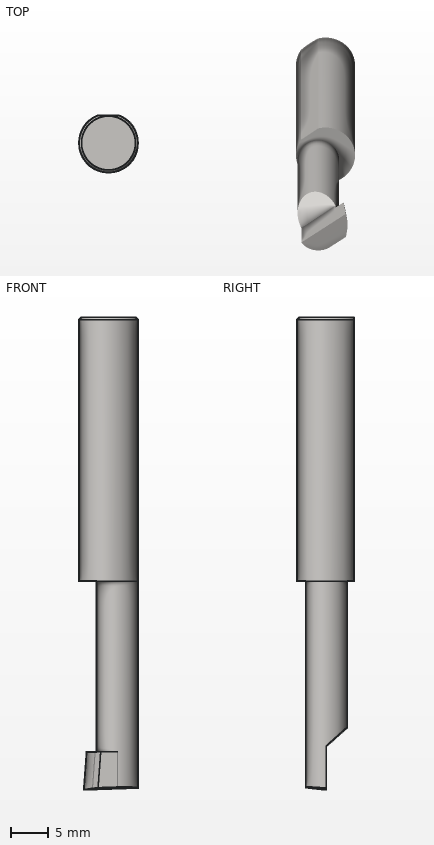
import cadquery as cq
import math

total_length = 63.49
shank_bottom_z = 28.05

shank_diameter = 7.9375
shank_radius = shank_diameter / 2
shank_flat_y = 3.71
shank_chamfer = 0.35

neck_diameter = 5.6
neck_radius = neck_diameter / 2
neck_center_x = shank_radius - neck_radius

relief_start_z = 5.9
relief_rise = 2.5

head_height = 5.1
tip_x = -3.33
heel_x = -2.2
heel_y = -1.97
front_corner_x = -1.42
clearance_bulge = 0.12
side_draft = math.radians(4.2)

end_angle_x = math.radians(2)
end_angle_y = math.radians(5)

cut_margin = 5.0
end_cut_width = 4 * shank_diameter


def make_shank():
    """Chamfered round shank with a flat along its +Y side."""
    shank = (
        cq.Workplane("XY", origin=(0, 0, shank_bottom_z))
        .circle(shank_radius)
        .extrude(total_length - shank_bottom_z)
        .faces(">Z")
        .chamfer(shank_chamfer)
    )
    flat_cut = cq.Workplane("XZ", origin=(0, shank_flat_y, 0)).moveTo(0, total_length / 2)
    flat_cut = flat_cut.rect(shank_diameter, total_length).extrude(-cut_margin)
    return shank.cut(flat_cut)


def make_neck():
    """Offset round neck reaching from the tip to the shank."""
    return cq.Workplane("XY").center(neck_center_x, 0).circle(neck_radius).extrude(shank_bottom_z)


def make_head():
    """Cutting head whose clearance side leans outward towards the tip."""
    lean = head_height * math.tan(side_draft)
    chord_x = heel_x - tip_x
    chord_length = math.hypot(chord_x, heel_y)
    bulge_x = (tip_x + heel_x) / 2 + clearance_bulge * heel_y / chord_length
    bulge_y = heel_y / 2 - clearance_bulge * chord_x / chord_length

    def outline(plane, shift):
        return (
            plane.moveTo(neck_center_x, 0)
            .lineTo(tip_x + shift, 0)
            .threePointArc((bulge_x + shift, bulge_y), (heel_x + shift, heel_y))
            .lineTo(front_corner_x + shift, -neck_radius)
            .lineTo(neck_center_x, -neck_radius)
            .close()
        )

    bottom = outline(cq.Workplane("XY"), 0)
    both = outline(bottom.workplane(offset=head_height), lean)
    return both.loft(ruled=True)


def make_relief_cut():
    """Body behind the rake face, with a sloped run-out into the neck."""
    slope = relief_rise / neck_radius
    depth = neck_radius + cut_margin
    return (
        cq.Workplane("YZ")
        .moveTo(0, -cut_margin)
        .lineTo(0, relief_start_z)
        .lineTo(depth, relief_start_z + slope * depth)
        .lineTo(depth, -cut_margin)
        .close()
        .extrude(shank_diameter, both=True)
    )


def make_end_cut():
    """Half space below the end face, which passes through the tip."""
    end_plane = cq.Plane(
        origin=(tip_x, 0, 0),
        xDir=(1, 0, math.tan(end_angle_x)),
        normal=(-math.tan(end_angle_x), math.tan(end_angle_y), 1),
    )
    return cq.Workplane(end_plane).rect(end_cut_width, end_cut_width).extrude(-cut_margin)


tool_end = make_neck().union(make_head()).cut(make_relief_cut()).cut(make_end_cut())
result = make_shank().union(tool_end)